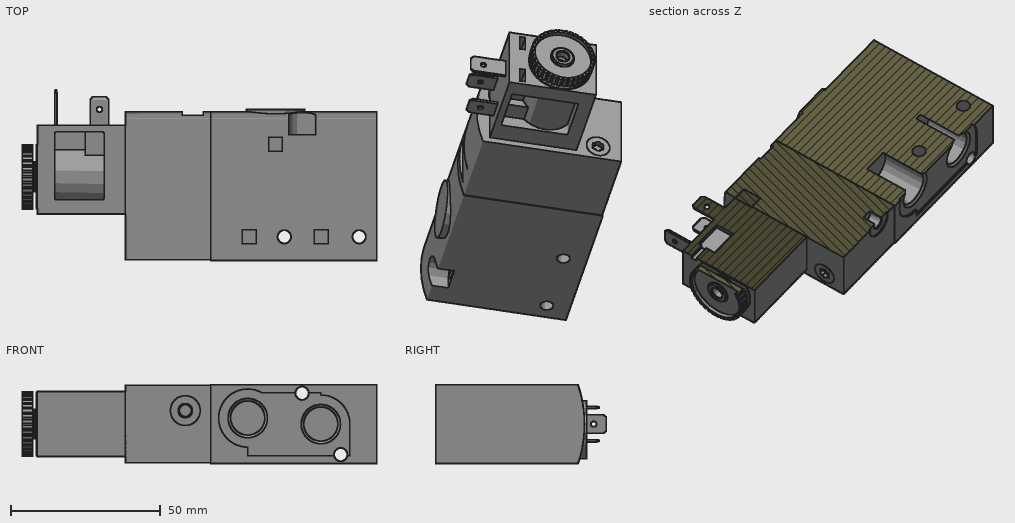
import cadquery as cq
import math


TOTAL_LENGTH = 118.6
COIL_START = 5.1
PILOT_START = 34.5
VALVE_START = 63.1

VALVE_HEIGHT = 26.5
PILOT_INSET = 0.2
CROWN_Y = 49.8
BACK_EDGE_Y = 47.7
BACK_EDGE_RADIUS = 0.4
LABEL_SIZE = 4.6
LABEL_DEPTH = 0.1
LABEL_CENTRES = [(84.7, 38.9), (75.9, 8.0), (100.0, 8.0)]

LEFT_PORT = (75.5, 2.0)
RIGHT_PORT = (99.9, 0.0)
PORT_BORE = 11.4
PORT_MOUTH = 13.2
PORT_CHAMFER = 0.8
PORT_DEPTH = 16.6
SEAL_RADIUS = 9.7
SEAL_HALF_HEIGHT = 10.6
SEAL_DEPTH = 0.6

HOLE_DIAMETER = 4.4
VERTICAL_HOLES = [(87.7, 8.0), (112.7, 8.0)]
CROSS_HOLES = [(93.6, 10.3), (106.5, -10.2)]
SCREW_SEAT_WIDTH = 9.0
SCREW_SEAT_Y = 42.1

BOSS_CENTRE = (84.7, -1.9)
BOSS_TOP_Y = 50.5

OVERRIDE_CENTRE = (54.6, 4.5)
OVERRIDE_RIM = 10.0
OVERRIDE_RIM_DEPTH = 0.4
OVERRIDE_BORE = 4.0
OVERRIDE_MOUTH = 4.7
OVERRIDE_DEPTH = 4.7
GROOVE_START = 53.6
GROOVE_WIDTH = 6.9
GROOVE_FLOOR_Y = 48.6

SCREW_CENTRES = [(8.2, -7.8), (41.8, 7.8)]
SCREW_HEAD = 8.0
SCREW_LENGTH = 4.7
TORX_TIP_RADIUS = 2.0
TORX_ROOT_RADIUS = 1.5
TORX_LOBES = 6
TORX_DEPTH = 1.8

COIL_HEIGHT = 21.8
COIL_FRONT_Y = 15.5
COIL_BACK_Y = 45.3
COIL_EDGE_RADIUS = 0.4
AXIS_Y = 28.0
WINDING_RADIUS = 10.0
WINDOW_START = 10.9
WINDOW_END = 27.4
WINDOW_FRONT_Y = 20.3
WINDOW_BACK_Y = 43.1
WINDOW_CORNER_RADIUS = 0.7
BLOCK_SPLIT_X = 21.1
LOW_BLOCK_TOP = 4.3
TALL_BLOCK_TOP = 6.9
SLOT_FRONT_Y = 39.9
SLOT_BACK_Y = 41.8
SLOT_BOTTOM = 4.4
SLOT_TOP = 9.6

BLADE_WIDTH = 6.3
BLADE_THICKNESS = 0.8
BLADE_TIP_LENGTH = 1.1
BLADE_TIP_WIDTH = 4.6
BLADE_TIP_THICKNESS = 0.4
BLADE_HOLE = 1.8
BLADE_HOLE_FROM_TIP = 4.3
EARTH_BLADE_X = 11.3
EARTH_BLADE_TIP_Y = 57.2
POWER_BLADE_X = 25.9
POWER_BLADE_Z = 5.6
POWER_BLADE_TIP_Y = 54.8

KNOB_DIAMETER = 21.6
KNOB_THICKNESS = 3.6
KNURL_COUNT = 36
KNURL_DEPTH = 0.5
KNURL_GROOVE_WIDTH = 0.7
FACE_RECESS = 19.5
FACE_RECESS_DEPTH = 1.4
HUB_DIAMETER = 8.0
HUB_HEIGHT = 0.8
HUB_TOP = FACE_RECESS_DEPTH - HUB_HEIGHT
HUB_BEVEL = 0.5
HUB_MOUTH = 4.7
HUB_BORE = 4.2
HUB_BORE_DEPTH = 2.7
TIP_BORE = 2.5
TIP_CONE_DEPTH = 0.7
TIP_BORE_DEPTH = 0.5
PIN_HOLE = 0.9
PIN_HOLE_DEPTH = 0.5
COLLAR_DIAMETER = 10.0
NECK_DIAMETER = 9.0
COLLAR_THICKNESS = 0.4
FLANGE_DIAMETER = 21.4
FLANGE_THICKNESS = 0.4


def box_between(x_range, y_range, z_range):
    """Box that fills three coordinate ranges."""
    size = [high - low for low, high in (x_range, y_range, z_range)]
    return cq.Workplane("XY").box(*size, centered=False).translate((x_range[0], y_range[0], z_range[0]))


def rod_x(diameter, start, length, y, z):
    """Cylinder along +X."""
    return cq.Workplane("YZ", origin=(start, y, z)).circle(diameter / 2).extrude(length)


def rod_y(diameter, start, length, x, z):
    """Cylinder along +Y."""
    return cq.Workplane("XZ", origin=(x, start, z)).circle(diameter / 2).extrude(-length)


def cone(start_diameter, end_diameter, length, start, direction):
    """Truncated cone from a start point along a direction."""
    solid = cq.Solid.makeCone(
        start_diameter / 2, end_diameter / 2, length, cq.Vector(*start), cq.Vector(*direction)
    )
    return cq.Workplane(solid)


def cone_x(start_diameter, end_diameter, start, length, y, z):
    """Truncated cone along +X."""
    return cone(start_diameter, end_diameter, length, (start, y, z), (1, 0, 0))


def cone_y(start_diameter, end_diameter, start, length, x, z):
    """Truncated cone along +Y."""
    return cone(start_diameter, end_diameter, length, (x, start, z), (0, 1, 0))


def rounded_block(start, end, front_y, height):
    """Block along X whose back face is a shallow arc."""
    half = height / 2
    return (
        cq.Workplane("YZ", origin=(start, 0, 0))
        .moveTo(front_y, -half)
        .lineTo(BACK_EDGE_Y, -half)
        .threePointArc((CROWN_Y, 0), (BACK_EDGE_Y, half))
        .lineTo(front_y, half)
        .close()
        .extrude(end - start)
        .edges("|X")
        .edges(">Y")
        .fillet(BACK_EDGE_RADIUS)
    )



def seal_recess():
    """Shallow recess around both front ports."""
    left_x, left_z = LEFT_PORT
    right_x, right_z = RIGHT_PORT
    rise = SEAL_HALF_HEIGHT - left_z
    arc_end_x = left_x + math.sqrt(SEAL_RADIUS**2 - rise**2)
    diagonal = SEAL_RADIUS * math.sqrt(0.5)
    return (
        cq.Workplane("XZ")
        .moveTo(left_x, left_z - SEAL_RADIUS)
        .threePointArc((left_x - SEAL_RADIUS, left_z), (arc_end_x, SEAL_HALF_HEIGHT))
        .lineTo(right_x, SEAL_HALF_HEIGHT)
        .lineTo(right_x, right_z + SEAL_RADIUS)
        .threePointArc((right_x + diagonal, right_z + diagonal), (right_x + SEAL_RADIUS, right_z))
        .lineTo(right_x + SEAL_RADIUS, -SEAL_HALF_HEIGHT)
        .lineTo(left_x, -SEAL_HALF_HEIGHT)
        .close()
        .extrude(-SEAL_DEPTH)
    )


def port(x, z):
    """Blind bore with a countersunk mouth, starting at the recess floor."""
    bore = rod_y(PORT_BORE, SEAL_DEPTH, PORT_DEPTH, x, z)
    return bore.union(cone_y(PORT_MOUTH, PORT_BORE, SEAL_DEPTH, PORT_CHAMFER, x, z))


def cross_hole(x, z):
    """Hole through the block along Y, with a round-bottomed screw seat open to the near side."""
    hole = rod_y(HOLE_DIAMETER, 0, CROWN_Y, x, z)
    seat_length = CROWN_Y - SCREW_SEAT_Y
    seat = rod_y(SCREW_SEAT_WIDTH, SCREW_SEAT_Y, seat_length, x, z)
    half = SCREW_SEAT_WIDTH / 2
    outside = math.copysign(VALVE_HEIGHT, z)
    mouth = box_between((x - half, x + half), (SCREW_SEAT_Y, CROWN_Y), sorted((z, outside)))
    return hole.union(seat).union(mouth)


def make_valve():
    body = rounded_block(VALVE_START, TOTAL_LENGTH, 0, VALVE_HEIGHT)
    boss_length = BOSS_TOP_Y - SCREW_SEAT_Y
    body = body.union(rod_y(2 * SEAL_RADIUS, SCREW_SEAT_Y, boss_length, *BOSS_CENTRE))
    body = body.cut(seal_recess())
    for centre in (LEFT_PORT, RIGHT_PORT):
        body = body.cut(port(*centre))
    for centre in CROSS_HOLES:
        body = body.cut(cross_hole(*centre))
    top = cq.Workplane("XY", origin=(0, 0, VALVE_HEIGHT / 2))
    holes = top.pushPoints(VERTICAL_HOLES).circle(HOLE_DIAMETER / 2).extrude(-VALVE_HEIGHT)
    labels = top.pushPoints(LABEL_CENTRES).rect(LABEL_SIZE, LABEL_SIZE).extrude(-LABEL_DEPTH)
    return body.cut(holes).cut(labels)



def override_hole():
    """Countersunk blind hole in the middle of a shallow round rim."""
    floor = PILOT_INSET + OVERRIDE_RIM_DEPTH
    rim = rod_y(OVERRIDE_RIM, PILOT_INSET, OVERRIDE_RIM_DEPTH, *OVERRIDE_CENTRE)
    bore = rod_y(OVERRIDE_BORE, floor, OVERRIDE_DEPTH, *OVERRIDE_CENTRE)
    chamfer = (OVERRIDE_MOUTH - OVERRIDE_BORE) / 2
    mouth = cone_y(OVERRIDE_MOUTH, OVERRIDE_BORE, floor, chamfer, *OVERRIDE_CENTRE)
    return rim.union(bore).union(mouth)


def make_pilot():
    height = VALVE_HEIGHT - 2 * PILOT_INSET
    body = rounded_block(PILOT_START, VALVE_START, PILOT_INSET, height)
    groove = box_between(
        (GROOVE_START, GROOVE_START + GROOVE_WIDTH),
        (GROOVE_FLOOR_Y, CROWN_Y),
        (-height, height),
    )
    body = body.cut(groove).cut(override_hole())
    for y, z in SCREW_CENTRES:
        body = body.cut(rod_x(SCREW_HEAD, PILOT_START, SCREW_LENGTH, y, z))
    return body



def make_screw(y, z):
    """Cylindrical screw head, flush with the pilot block, with a six-lobed socket."""

    def polar(radius, angle):
        return (radius * math.cos(angle), radius * math.sin(angle))

    pitch = 2 * math.pi / TORX_LOBES
    start = math.pi / 2
    first_root = polar(TORX_ROOT_RADIUS, start - pitch / 2)
    socket = cq.Workplane("YZ", origin=(PILOT_START, y, z)).moveTo(*first_root)
    for lobe in range(TORX_LOBES):
        tip_angle = start + lobe * pitch
        socket = socket.threePointArc(
            polar(TORX_TIP_RADIUS, tip_angle), polar(TORX_ROOT_RADIUS, tip_angle + pitch / 2)
        )
    return rod_x(SCREW_HEAD, PILOT_START, SCREW_LENGTH, y, z).cut(socket.close().extrude(TORX_DEPTH))



def blade(tip_y):
    """Flat blade along +Y, wide in X and thin in Z, centred on X = 0 and Z = 0."""
    shoulder_y = tip_y - BLADE_TIP_LENGTH
    shank = (
        cq.Workplane("XZ", origin=(0, COIL_BACK_Y, 0))
        .rect(BLADE_WIDTH, BLADE_THICKNESS)
        .extrude(COIL_BACK_Y - shoulder_y)
    )
    tip = (
        cq.Workplane("XZ", origin=(0, shoulder_y, 0))
        .rect(BLADE_WIDTH, BLADE_THICKNESS)
        .workplane(offset=-BLADE_TIP_LENGTH)
        .rect(BLADE_TIP_WIDTH, BLADE_TIP_THICKNESS)
        .loft()
    )
    hole = (
        cq.Workplane("XY", origin=(0, tip_y - BLADE_HOLE_FROM_TIP, -BLADE_THICKNESS))
        .circle(BLADE_HOLE / 2)
        .extrude(2 * BLADE_THICKNESS)
    )
    return shank.union(tip).cut(hole)


def coil_windows():
    """Windows in top and bottom; the winding and two stepped blocks stay standing in them."""
    length = WINDOW_END - WINDOW_START
    width = WINDOW_BACK_Y - WINDOW_FRONT_Y
    middle = ((WINDOW_START + WINDOW_END) / 2, (WINDOW_FRONT_Y + WINDOW_BACK_Y) / 2, 0)
    opening = (
        cq.Workplane("XY", origin=middle)
        .rect(length, width)
        .extrude(COIL_HEIGHT / 2, both=True)
        .edges("|Z")
        .fillet(WINDOW_CORNER_RADIUS)
    )
    winding = rod_x(2 * WINDING_RADIUS, WINDOW_START, length, AXIS_Y, 0)
    block_y = (AXIS_Y, WINDOW_BACK_Y)
    low_block = box_between((WINDOW_START, BLOCK_SPLIT_X), block_y, (-LOW_BLOCK_TOP, LOW_BLOCK_TOP))
    tall_block = box_between((BLOCK_SPLIT_X, WINDOW_END), block_y, (-TALL_BLOCK_TOP, TALL_BLOCK_TOP))
    return opening.cut(winding).cut(low_block).cut(tall_block)


def make_coil():
    half = COIL_HEIGHT / 2
    body = box_between((COIL_START, PILOT_START), (COIL_FRONT_Y, COIL_BACK_Y), (-half, half))
    body = body.edges("|X and <Y").fillet(COIL_EDGE_RADIUS).cut(coil_windows())
    for low, high in ((SLOT_BOTTOM, SLOT_TOP), (-SLOT_TOP, -SLOT_BOTTOM)):
        body = body.cut(box_between((COIL_START, WINDOW_START), (SLOT_FRONT_Y, SLOT_BACK_Y), (low, high)))
    earth = blade(EARTH_BLADE_TIP_Y).rotate((0, 0, 0), (0, 1, 0), 90)
    body = body.union(earth.translate((EARTH_BLADE_X, 0, 0)))
    for z in (-POWER_BLADE_Z, POWER_BLADE_Z):
        body = body.union(blade(POWER_BLADE_TIP_Y).translate((POWER_BLADE_X, 0, z)))
    return body



def knurled_disc():
    """Disc with evenly spaced flat-bottomed grooves around its rim."""
    disc = rod_x(KNOB_DIAMETER, 0, KNOB_THICKNESS, AXIS_Y, 0)
    grooves = (
        cq.Workplane("YZ", origin=(0, AXIS_Y, 0))
        .polarArray(KNOB_DIAMETER / 2, 0, 360, KNURL_COUNT)
        .rect(2 * KNURL_DEPTH, KNURL_GROOVE_WIDTH)
        .extrude(KNOB_THICKNESS)
    )
    return disc.cut(grooves)


def hub():
    """Bevelled hub that rises from the floor of the face recess."""
    rod = rod_x(HUB_DIAMETER, HUB_TOP, HUB_HEIGHT, AXIS_Y, 0)
    return rod.faces("<X").chamfer(HUB_BEVEL)


def hub_bore():
    """Countersunk bore that narrows through a cone to a short tip bore and a pin hole."""
    cone_start = HUB_TOP + HUB_BORE_DEPTH
    tip_start = cone_start + TIP_CONE_DEPTH
    pin_start = tip_start + TIP_BORE_DEPTH
    chamfer = (HUB_MOUTH - HUB_BORE) / 2
    return (
        rod_x(HUB_BORE, HUB_TOP, HUB_BORE_DEPTH, AXIS_Y, 0)
        .union(cone_x(HUB_MOUTH, HUB_BORE, HUB_TOP, chamfer, AXIS_Y, 0))
        .union(cone_x(HUB_BORE, TIP_BORE, cone_start, TIP_CONE_DEPTH, AXIS_Y, 0))
        .union(rod_x(TIP_BORE, tip_start, TIP_BORE_DEPTH, AXIS_Y, 0))
        .union(rod_x(PIN_HOLE, pin_start, PIN_HOLE_DEPTH, AXIS_Y, 0))
    )


def make_knob():
    body = knurled_disc().cut(rod_x(FACE_RECESS, 0, FACE_RECESS_DEPTH, AXIS_Y, 0))
    body = body.union(hub())
    flange_start = COIL_START - FLANGE_THICKNESS
    neck_length = flange_start - KNOB_THICKNESS
    body = body.union(rod_x(NECK_DIAMETER, KNOB_THICKNESS, neck_length, AXIS_Y, 0))
    for start in (KNOB_THICKNESS, flange_start - COLLAR_THICKNESS):
        body = body.union(rod_x(COLLAR_DIAMETER, start, COLLAR_THICKNESS, AXIS_Y, 0))
    body = body.union(rod_x(FLANGE_DIAMETER, flange_start, FLANGE_THICKNESS, AXIS_Y, 0))
    return body.cut(hub_bore())


valve = make_valve()
pilot = make_pilot()
screws = [make_screw(y, z) for y, z in SCREW_CENTRES]
coil = make_coil()
knob = make_knob()

result = cq.Compound.makeCompound(
    [valve.val(), pilot.val(), coil.val(), knob.val(), *[screw.val() for screw in screws]]
)